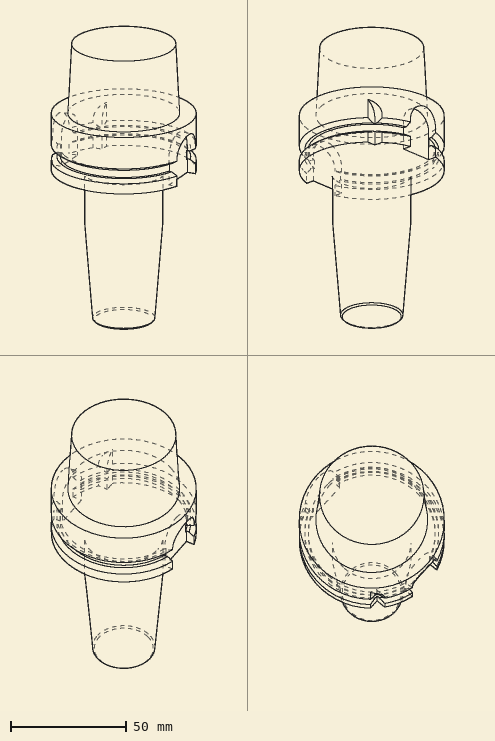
import cadquery as cq
import math

total_height = 127.0
flange_top = 95.0
upper_lip_height = 80.5
groove_top = 79.0
groove_bottom = 75.2
lower_lip_height = 73.7
flange_bottom = 69.0
nose_taper_top = 44.7

shank_base_radius = 24.3
shank_taper_ratio = 0.05

flange_radius = 63.0 / 2
lip_radius = 29.1
groove_radius = 27.5

neck_radius = 34.0 / 2
neck_fillet = 3.0
nose_taper_angle = 4.5
tip_chamfer = 0.8

slot_width = 16.0
opposite_slot_width = 18.0
slot_top = 90.0
slot_floor = 26.3
notch_width = 16.6
notch_floor = 20.2
notch_near_wall = 19.7


def make_shank():
    """Solid tapered shank standing on the flange's upper face."""
    shank_height = total_height - flange_top
    shank_top_radius = shank_base_radius - shank_taper_ratio * shank_height
    return (
        cq.Workplane("XZ")
        .moveTo(0, flange_top)
        .lineTo(shank_base_radius, flange_top)
        .lineTo(shank_top_radius, total_height)
        .lineTo(0, total_height)
        .close()
        .revolve(360, (0, 0, 0), (0, 1, 0))
    )


def make_turned_holder():
    """Flange, neck and tapered nose as one turned shape."""
    taper_slope = math.tan(math.radians(nose_taper_angle))
    tip_radius = neck_radius - (nose_taper_top - tip_chamfer) * taper_slope
    return (
        cq.Workplane("XZ")
        .moveTo(0, 0)
        .lineTo(tip_radius - tip_chamfer, 0)
        .lineTo(tip_radius, tip_chamfer)
        .lineTo(neck_radius, nose_taper_top)
        .lineTo(neck_radius, flange_bottom - neck_fillet)
        .radiusArc((neck_radius + neck_fillet, flange_bottom), neck_fillet)
        .lineTo(flange_radius, flange_bottom)
        .lineTo(flange_radius, lower_lip_height)
        .lineTo(lip_radius, groove_bottom)
        .lineTo(groove_radius, groove_bottom)
        .lineTo(groove_radius, groove_top)
        .lineTo(lip_radius, groove_top)
        .lineTo(flange_radius, upper_lip_height)
        .lineTo(flange_radius, flange_top)
        .lineTo(0, flange_top)
        .close()
        .revolve(360, (0, 0, 0), (0, 1, 0))
    )


def make_slot_cutter(side, width, floor, center_y):
    """Round-topped slot running out along X; side is -1 or +1."""
    half_width = width / 2
    arc_start = slot_top - half_width
    return (
        cq.Workplane("YZ", origin=(side * floor, 0, 0))
        .moveTo(center_y - half_width, flange_bottom)
        .lineTo(center_y - half_width, arc_start)
        .threePointArc((center_y, slot_top), (center_y + half_width, arc_start))
        .lineTo(center_y + half_width, flange_bottom)
        .close()
        .extrude(side * flange_radius)
    )


def make_holder():
    """Turned holder with two drive slots and an off-centre orientation notch."""
    notch_center = notch_near_wall + notch_width / 2
    return (
        make_turned_holder()
        .cut(make_slot_cutter(-1, slot_width, slot_floor, 0))
        .cut(make_slot_cutter(1, opposite_slot_width, slot_floor, 0))
        .cut(make_slot_cutter(-1, notch_width, notch_floor, notch_center))
    )


shank = make_shank()
holder = make_holder()
result = cq.Compound.makeCompound([shank.val(), holder.val()])